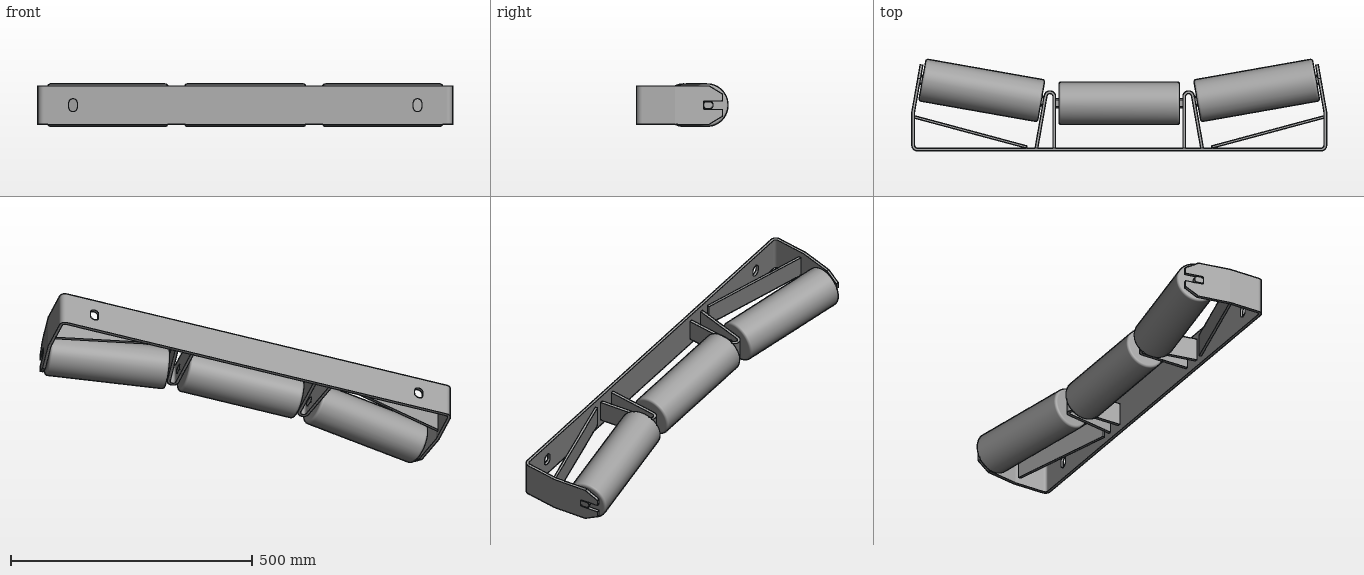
import cadquery as cq
import math


frame_length = 860
strip_width = 80.0
thickness = 6.0
bend_radius = 2 * thickness
trough_angle = 10
trough_sin = math.sin(math.radians(trough_angle))
trough_cos = math.cos(math.radians(trough_angle))
trough_tan = math.tan(math.radians(trough_angle))

half_length = frame_length / 2
fold_height = 81.0
tip_height = 179.0
tip_chamfer_length = 28.0
tip_chamfer_width = 17.0
mount_hole_x = 357.0
mount_hole_width = 18.0
mount_hole_length = 27.0

bracket_width = 50.0
bracket_height = 125.0
bracket_inner_x = 132.0

gusset_angle = 15
gusset_width = 50.0
gusset_thickness = 5.0
gusset_top = 73.0
gusset_end_x = 191.0

roller_diameter = 89.0
roller_length = 250.0
roller_fillet = 5.0
shaft_diameter = 20.0
shaft_flat_width = 14.0
middle_roller_y = 99.0
side_roller_y = 125.5

slot_width = 18.0
slot_corner_radius = 4.0
slot_height = 86

bend_centre_x = bracket_inner_x + bend_radius
bend_centre_y = bracket_height - bend_radius


def axial_position(x, y):
    """Distance of a point along the +X side roller's axis direction."""
    return x * trough_cos + y * trough_sin


leg_face = axial_position(bend_centre_x, bend_centre_y) + bend_radius
plate_face = axial_position(half_length, fold_height) - thickness
side_span = plate_face - leg_face
side_roller_x = ((leg_face + plate_face) / 2 - side_roller_y * trough_sin) / trough_cos
middle_span = 2 * bracket_inner_x


def place_side(shape, side):
    """Move a shape from the roller's own axes to the +X (side=1) or -X (side=-1) roller."""
    turned = shape.rotate((0, 0, 0), (0, 0, 1), side * trough_angle)
    return turned.translate((side * side_roller_x, side_roller_y, 0))


def extrude_strip(profile, width=strip_width):
    return profile.close().extrude(width).translate((0, 0, -width / 2))


def shaft_section(length):
    """Round bar along X with two flats facing +Z and -Z."""
    bar = cq.Workplane("YZ", origin=(-length / 2, 0, 0)).circle(shaft_diameter / 2).extrude(length)
    flats = cq.Workplane("XY").box(length, shaft_diameter, shaft_flat_width)
    return bar.intersect(flats)


def make_roller(span):
    """Roller about the X axis whose shaft passes through plates standing `span` apart."""
    body = cq.Workplane("YZ", origin=(-roller_length / 2, 0, 0)).circle(roller_diameter / 2).extrude(roller_length)
    body = body.edges().fillet(roller_fillet)
    return body.union(shaft_section(span + 2 * thickness))


def make_slot_cutter(span):
    """Shaft slot open towards +Y, rounded at its bottom, as long as the shaft."""
    length = span + 2 * thickness
    slot = cq.Workplane("XY").box(length, slot_height, slot_width, centered=(True, False, True))
    slot = slot.translate((0, -shaft_diameter / 2, 0))
    return slot.edges("<Y and |X").fillet(slot_corner_radius)


def make_frame():
    rise = tip_height - fold_height
    tip = (half_length - rise * trough_tan, tip_height)
    inner_x = half_length - thickness
    inner_fold_y = fold_height - thickness * math.tan(math.radians(trough_angle / 2))
    inner_tip = (tip[0] - thickness * trough_cos, tip[1] - thickness * trough_sin)
    right_side = [
        (half_length, 0),
        (half_length, fold_height),
        tip,
        inner_tip,
        (inner_x, inner_fold_y),
        (inner_x, thickness),
    ]
    left_side = [(-x, y) for x, y in reversed(right_side)]
    frame = extrude_strip(cq.Workplane("XY").polyline(right_side + left_side))

    for side in (1, -1):
        for x, y, radius in (
            (half_length, 0, bend_radius),
            (inner_x, thickness, bend_radius - thickness),
        ):
            corner = cq.selectors.NearestToPointSelector((side * x, y, 0))
            frame = frame.edges(corner).fillet(radius)

    taper_start = tip_height - tip_chamfer_length
    half_width = strip_width / 2
    for edge in (1, -1):
        taper = (
            cq.Workplane("YZ")
            .moveTo(tip_height, edge * (half_width - tip_chamfer_width))
            .lineTo(tip_height, edge * half_width)
            .lineTo(taper_start, edge * half_width)
            .close()
            .extrude(half_length, both=True)
        )
        frame = frame.cut(taper)

    holes = (
        cq.Workplane("XZ")
        .pushPoints([(mount_hole_x, 0), (-mount_hole_x, 0)])
        .slot2D(mount_hole_length, mount_hole_width, 90)
        .extrude(thickness, both=True)
    )
    frame = frame.cut(holes)

    for side in (1, -1):
        frame = frame.cut(place_side(make_slot_cutter(side_span), side))
    return frame


def make_bracket():
    """Bracket on the +X side: an upright leg, a round bend and a leg leaning out by the trough angle."""

    def bend_point(radius, angle):
        turn = math.radians(angle)
        return (bend_centre_x + radius * math.cos(turn), bend_centre_y + radius * math.sin(turn))

    def foot(radius):
        x, y = bend_point(radius, trough_angle)
        return (x + (y - thickness) * trough_tan, thickness)

    inner_radius = bend_radius - thickness
    profile = (
        cq.Workplane("XY")
        .moveTo(bracket_inner_x, thickness)
        .lineTo(*bend_point(bend_radius, 180))
        .threePointArc(bend_point(bend_radius, 90), bend_point(bend_radius, trough_angle))
        .lineTo(*foot(bend_radius))
        .lineTo(*foot(inner_radius))
        .lineTo(*bend_point(inner_radius, trough_angle))
        .threePointArc(bend_point(inner_radius, 90), bend_point(inner_radius, 180))
        .lineTo(bracket_inner_x + thickness, thickness)
    )
    bracket = extrude_strip(profile, bracket_width)
    bracket = bracket.cut(place_side(shaft_section(side_span + 2 * thickness), 1))
    middle_shaft = shaft_section(middle_span + 2 * thickness)
    return bracket.cut(middle_shaft.translate((0, middle_roller_y, 0)))


def make_gusset():
    """Brace on the +X side, sloping from the frame wall down towards the base strip."""
    slope = math.radians(gusset_angle)
    wall_x = half_length - thickness
    drop = (wall_x - gusset_end_x) * math.tan(slope)
    end = (gusset_end_x, gusset_top - drop)
    lower_end = (end[0] + gusset_thickness * math.sin(slope), end[1] - gusset_thickness * math.cos(slope))
    lower_wall = (wall_x, gusset_top - gusset_thickness / math.cos(slope))
    return extrude_strip(cq.Workplane("XY").polyline([(wall_x, gusset_top), end, lower_end, lower_wall]), gusset_width)


frame = make_frame()
bracket = make_bracket()
gusset = make_gusset()
brackets = [bracket, bracket.mirror("YZ")]
gussets = [gusset, gusset.mirror("YZ")]
rollers = [make_roller(middle_span).translate((0, middle_roller_y, 0))]
for side in (1, -1):
    rollers.append(place_side(make_roller(side_span), side))

bodies = [frame, *brackets, *gussets, *rollers]
result = cq.Compound.makeCompound([body.val() for body in bodies])